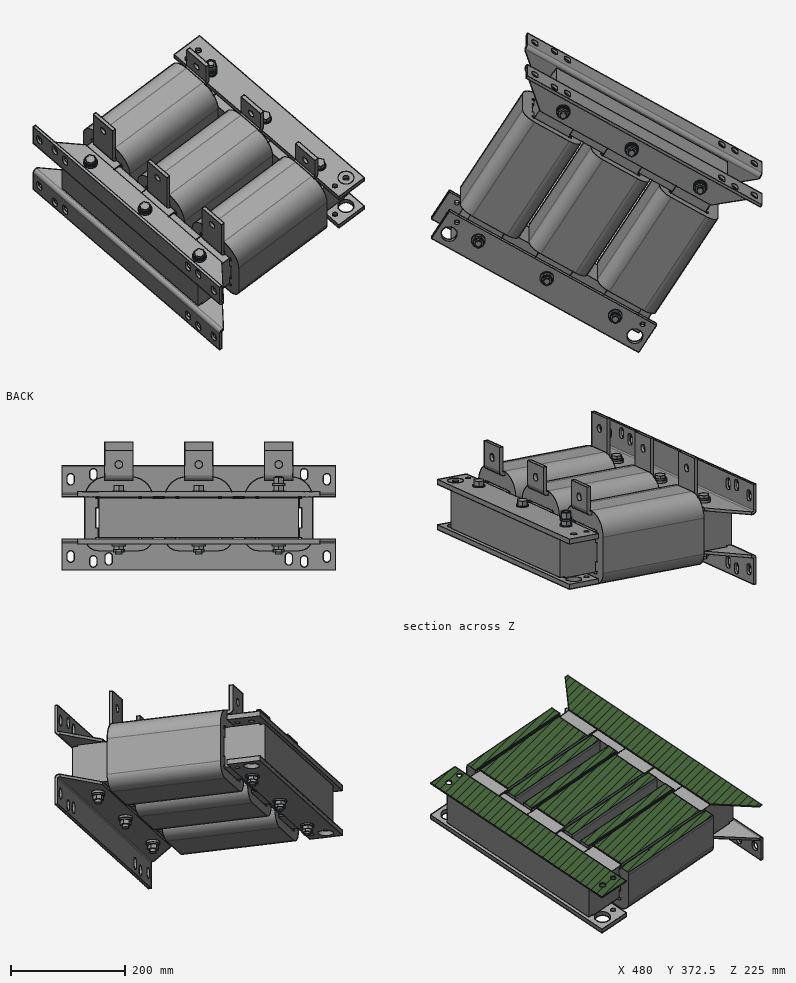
import cadquery as cq


LEG_PITCH = 140.0
LEG_WIDTH = 70.0
CORE_WIDTH = 2 * LEG_PITCH + LEG_WIDTH
CORE_LENGTH = 359.0
CORE_HEIGHT = 69.0
WINDOW_LENGTH = 215.0
LEG_PLATE_LENGTH = 340.5
LEG_PLATE_THICKNESS = 2.5
LEG_TOP = CORE_HEIGHT / 2 + LEG_PLATE_THICKNESS
LEG_XS = (-LEG_PITCH, 0, LEG_PITCH)

COIL_LENGTH = 211.0
COIL_WIDTH = 120.0
COIL_TOP = 72.0
COIL_BOTTOM = -57.5
COIL_TOP_RADIUS = 39.0
COIL_BOTTOM_RADIUS = 24.5
BORE_SIZE = 80.0
BORE_CORNER_RADIUS = 3.5
SIDE_STRIP_THICKNESS = 4.0
SIDE_STRIP_GAP = 35.0
PACKING_RECESS = 7.0

TERMINAL_WIDTH = 50.0
TERMINAL_BEND_RADIUS = 8.0
TERMINAL_HOLE_DIAMETER = 13.5
TERMINAL_HOLE_DROP = 24.5
REAR_TERMINAL_REACH = 11.0
REAR_TERMINAL_THICKNESS = 7.0
REAR_TERMINAL_FOOT = 65.5
REAR_TERMINAL_TOP = 118.0
FRONT_TERMINAL_REACH = 8.5
FRONT_TERMINAL_THICKNESS = 6.0
FRONT_TERMINAL_FOOT = 40.5
FRONT_TERMINAL_TOP = 133.5

REAR_PLATE_WIDTH = 424.5
REAR_PLATE_BACK = 184.0
REAR_PLATE_DEPTH = 61.0
REAR_PLATE_THICKNESS = 9.0
REAR_PLATE_TOP = LEG_TOP + REAR_PLATE_THICKNESS
REAR_HOLE_X = 190.0
OUTER_HOLE_Y = 160.5
OUTER_HOLE_DIAMETER = 10.5
INNER_HOLE_Y = 134.0
INNER_HOLE_DIAMETER = 8.5
ACCESS_HOLE_DIAMETER = 28.0
SPOTFACE_DEPTH = 0.5

ANGLE_WIDTH = 480.0
ANGLE_FRONT = -188.5
ANGLE_BACK = -123.0
ANGLE_CORNER_Y = -179.0
ANGLE_THICKNESS = 5.5
ANGLE_BEND_RADIUS = 2.5
ANGLE_TOP = 91.5
ANGLE_FLANGE_TOP = LEG_TOP + ANGLE_THICKNESS
SLOT_WIDTH = 12.5
SLOTS = ((224.5, 67.5, 19.5), (185.0, 76.5, 19.5), (158.0, 72.0, 21.0))

BOLT_Y = 144.0
HEX_CORNERS = 19.0
STUD_DIAMETER = 11.5
WASHER_DIAMETER = 24.0
SMALL_WASHER_DIAMETER = 21.5

WASHER = ("round", WASHER_DIAMETER)
SMALL_WASHER = ("round", SMALL_WASHER_DIAMETER)
STUD = ("round", STUD_DIAMETER)
HEX_CORNERS_ALONG_Y = ("hex", 90)
HEX_CORNERS_ALONG_X = ("hex", 0)

FRONT_HEAD = ((WASHER, 4.5), (SMALL_WASHER, 3.0), (HEX_CORNERS_ALONG_Y, 5.5))
FRONT_NUT = ((WASHER, 4.5), (SMALL_WASHER, 3.0), (HEX_CORNERS_ALONG_X, 7.5), (STUD, 5.5))
REAR_HEAD = ((SMALL_WASHER, 1.5), (HEX_CORNERS_ALONG_Y, 9.0))
REAR_NUT = ((WASHER, 3.0), (HEX_CORNERS_ALONG_Y, 6.0), (HEX_CORNERS_ALONG_X, 5.0), (STUD, 3.5))
REAR_DOUBLE_HEAD = REAR_HEAD + ((SMALL_WASHER, 3.5), (HEX_CORNERS_ALONG_Y, 11.0), (STUD, 1.5))


def block(width, y_min, y_max, z_min, z_max, x=0.0):
    """Box centred on x, between the given Y and Z limits."""
    size = (width, y_max - y_min, z_max - z_min)
    return cq.Workplane("XY").box(*size, centered=(True, False, False)).translate((x, y_min, z_min))


def both_sides(upper):
    """The body together with its mirror image below the core."""
    return upper.union(upper.mirror("XY"))


def make_core():
    core = block(CORE_WIDTH, -CORE_LENGTH / 2, CORE_LENGTH / 2, -CORE_HEIGHT / 2, CORE_HEIGHT / 2)
    for x in (-LEG_PITCH / 2, LEG_PITCH / 2):
        window_width = LEG_PITCH - LEG_WIDTH
        core = core.cut(block(window_width, -WINDOW_LENGTH / 2, WINDOW_LENGTH / 2, -LEG_TOP, LEG_TOP, x))
    for x in LEG_XS:
        core = core.union(block(LEG_WIDTH, -LEG_PLATE_LENGTH / 2, LEG_PLATE_LENGTH / 2, -LEG_TOP, LEG_TOP, x))
    return core


def make_coil(x):
    """Winding with a square bore, lined with side strips and packed onto the leg."""
    end = COIL_LENGTH / 2
    half_bore = BORE_SIZE / 2
    coil = block(COIL_WIDTH, -end, end, COIL_BOTTOM, COIL_TOP)
    coil = coil.edges("|Y and >Z").fillet(COIL_TOP_RADIUS)
    coil = coil.edges("|Y and <Z").fillet(COIL_BOTTOM_RADIUS)
    bore = block(BORE_SIZE, -end, end, -half_bore, half_bore)
    coil = coil.cut(bore.edges("|Y").fillet(BORE_CORNER_RADIUS))

    for side in (-1, 1):
        strip_x = side * (BORE_SIZE - SIDE_STRIP_THICKNESS) / 2
        strip = block(SIDE_STRIP_THICKNESS, -end, end, SIDE_STRIP_GAP / 2, CORE_HEIGHT / 2, strip_x)
        coil = coil.union(both_sides(strip))
    packing_end = end - PACKING_RECESS
    coil = coil.union(both_sides(block(LEG_WIDTH, -packing_end, packing_end, LEG_TOP, half_bore)))
    return coil.translate((x, 0, 0))


def make_terminal(x, direction, reach, thickness, foot, top):
    """Bent strip leaving the coil end along direction (+1 rear, -1 front), then turning up."""
    start = COIL_LENGTH / 2
    outer = start + reach
    inner = outer - thickness
    strip = block(TERMINAL_WIDTH, start, outer, foot, top)
    strip = strip.edges("|X and >Y and <Z").fillet(TERMINAL_BEND_RADIUS)
    notch = block(TERMINAL_WIDTH, start, inner, foot + thickness, top)
    strip = strip.cut(notch)
    hole = cq.Workplane("XZ").center(0, top - TERMINAL_HOLE_DROP).circle(TERMINAL_HOLE_DIAMETER / 2)
    strip = strip.cut(hole.extrude(-2 * outer))
    if direction < 0:
        strip = strip.mirror("XZ")
    return strip.translate((x, 0, 0))


def make_rear_plates():
    plate_front = REAR_PLATE_BACK - REAR_PLATE_DEPTH
    plates = both_sides(block(REAR_PLATE_WIDTH, plate_front, REAR_PLATE_BACK, LEG_TOP, REAR_PLATE_TOP))
    for x in (-REAR_HOLE_X, REAR_HOLE_X):
        inner_hole = cq.Workplane("XY").center(x, INNER_HOLE_Y).circle(INNER_HOLE_DIAMETER / 2)
        plates = plates.cut(inner_hole.extrude(REAR_PLATE_TOP, both=True))
        outer_hole = cq.Workplane("XY").center(x, OUTER_HOLE_Y).circle(OUTER_HOLE_DIAMETER / 2)
        plates = plates.cut(outer_hole.extrude(REAR_PLATE_TOP))
        access_hole = cq.Workplane("XY").center(x, OUTER_HOLE_Y).circle(ACCESS_HOLE_DIAMETER / 2)
        plates = plates.cut(access_hole.extrude(-REAR_PLATE_TOP))
    spotface = cq.Workplane("XY", origin=(REAR_HOLE_X, OUTER_HOLE_Y, REAR_PLATE_TOP))
    return plates.cut(spotface.circle(ACCESS_HOLE_DIAMETER / 2).extrude(-SPOTFACE_DEPTH))


def make_angles():
    angle = block(ANGLE_WIDTH, ANGLE_FRONT, ANGLE_BACK, LEG_TOP, ANGLE_TOP)
    angle = angle.edges("|X and <Y and <Z").fillet(ANGLE_BEND_RADIUS + ANGLE_THICKNESS)
    inside = block(ANGLE_WIDTH, ANGLE_FRONT + ANGLE_THICKNESS, ANGLE_BACK, ANGLE_FLANGE_TOP, ANGLE_TOP)
    inside = inside.edges("|X and <Y and <Z").fillet(ANGLE_BEND_RADIUS)
    angle = angle.cut(inside)

    for side in (-1, 1):
        slanted_end = [
            (side * CORE_WIDTH / 2, ANGLE_BACK),
            (side * ANGLE_WIDTH / 2, ANGLE_BACK),
            (side * ANGLE_WIDTH / 2, ANGLE_CORNER_Y),
        ]
        angle = angle.cut(cq.Workplane("XY").polyline(slanted_end).close().extrude(ANGLE_TOP))
        for x, z, length in SLOTS:
            slot = cq.Workplane("XZ").center(side * x, z).slot2D(length, SLOT_WIDTH, 90)
            angle = angle.cut(slot.extrude(-2 * ANGLE_FRONT))
    return both_sides(angle)


def make_stack(x, y, base, layers):
    """Washers, heads, nuts and stud ends piled up from the height base."""
    z = base
    bodies = cq.Workplane("XY")
    for (shape, size), height in layers:
        if shape == "round":
            body = cq.Workplane("XY").circle(size / 2).extrude(height)
        else:
            body = cq.Workplane("XY").polygon(6, HEX_CORNERS).extrude(height)
            body = body.rotate((0, 0, 0), (0, 0, 1), size)
        bodies = bodies.union(body.translate((x, y, z)))
        z += height
    return bodies


def make_bolt(x, y, base, upper_layers, lower_layers):
    """Bolt ends above and below a pair of clamping plates."""
    upper_end = make_stack(x, y, base, upper_layers)
    lower_end = make_stack(x, y, base, lower_layers).mirror("XY")
    return upper_end.union(lower_end)


result = make_core().union(make_rear_plates()).union(make_angles())
rear_terminal = (1, REAR_TERMINAL_REACH, REAR_TERMINAL_THICKNESS, REAR_TERMINAL_FOOT, REAR_TERMINAL_TOP)
front_terminal = (-1, FRONT_TERMINAL_REACH, FRONT_TERMINAL_THICKNESS, FRONT_TERMINAL_FOOT, FRONT_TERMINAL_TOP)
for leg_x in LEG_XS:
    result = result.union(make_coil(leg_x))
    result = result.union(make_terminal(leg_x, *rear_terminal))
    result = result.union(make_terminal(leg_x, *front_terminal))
    result = result.union(make_bolt(leg_x, -BOLT_Y, ANGLE_FLANGE_TOP, FRONT_HEAD, FRONT_NUT))
    rear_head = REAR_DOUBLE_HEAD if leg_x == LEG_XS[0] else REAR_HEAD
    result = result.union(make_bolt(leg_x, BOLT_Y, REAR_PLATE_TOP, rear_head, REAR_NUT))